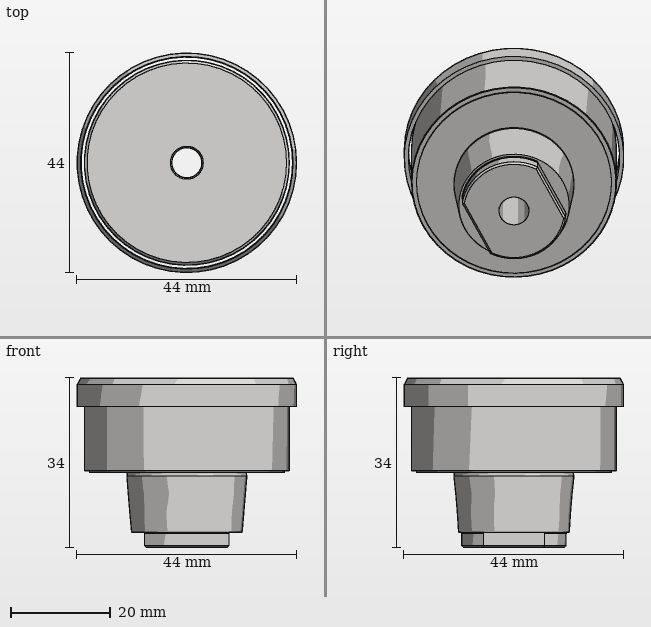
import cadquery as cq

total_height = 33.95
tip_height = 3.05
collar_base = 15.0

ring_radius = 22
ring_bore_radius = 21.17
ring_height = 5.72
ring_top_radius = 21.3
ring_chamfer_height = 1.3

head_radius = 20.55
head_recess = 0.45
head_top = total_height - head_recess
head_top_chamfer = 0.57
head_bottom_chamfer = 0.15
collar_radius = 19.55
collar_height = 0.3
head_base = collar_base + collar_height

shank_top_radius = 12.05
shank_bottom_radius = 11.15
shank_edge_width = 0.1
shank_edge_height = 0.2
neck_radius = 11.97
neck_height = 0.35
neck_flare_height = 0.35
shank_top = collar_base - neck_height - neck_flare_height

tip_radius = 10.48
tip_flat_distance = 8.5
tip_chamfer = 0.4
tip_root_width = 0.15
tip_root_height = 0.25

hole_radius = 3.0
hole_chamfer = 0.3


def make_ring():
    """Thin ring with a bevelled outer top edge, clear of the head."""
    ring_base = total_height - ring_height
    profile = [
        (ring_bore_radius, ring_base),
        (ring_radius, ring_base),
        (ring_radius, total_height - ring_chamfer_height),
        (ring_top_radius, total_height),
        (ring_bore_radius, total_height),
    ]
    return cq.Workplane("XZ").polyline(profile).close().revolve(360, (0, 0), (0, 1))


def make_head_and_shank():
    """Turned head, collar, neck and tapered shank."""
    profile = [
        (0, tip_height),
        (shank_bottom_radius - shank_edge_width, tip_height),
        (shank_bottom_radius, tip_height + shank_edge_height),
        (shank_top_radius, shank_top),
        (neck_radius, shank_top + neck_flare_height),
        (neck_radius, collar_base),
        (collar_radius, collar_base),
        (collar_radius, head_base),
        (head_radius - head_bottom_chamfer, head_base),
        (head_radius, head_base + head_bottom_chamfer),
        (head_radius, head_top - head_top_chamfer),
        (head_radius - head_top_chamfer, head_top),
        (0, head_top),
    ]
    return cq.Workplane("XZ").polyline(profile).close().revolve(360, (0, 0), (0, 1))


def make_tip():
    """Round tip, flared at its root and chamfered below, cut by a flat on each X side."""
    root_radius = tip_radius + tip_root_width
    profile = [
        (0, 0),
        (tip_radius, 0),
        (tip_radius, tip_height - tip_root_height),
        (root_radius, tip_height),
        (0, tip_height),
    ]
    round_tip = cq.Workplane("XZ").polyline(profile).close().revolve(360, (0, 0), (0, 1))
    flat_sided_block = cq.Workplane("XY").box(
        2 * tip_flat_distance, 2 * root_radius, tip_height, centered=(True, True, False)
    )
    return round_tip.intersect(flat_sided_block).faces("<Z").edges().chamfer(tip_chamfer)


def make_hole():
    """Through hole with a chamfered mouth at the head top."""
    mouth_radius = hole_radius + hole_chamfer
    profile = [
        (0, 0),
        (hole_radius, 0),
        (hole_radius, head_top - hole_chamfer),
        (mouth_radius, head_top),
        (0, head_top),
    ]
    return cq.Workplane("XZ").polyline(profile).close().revolve(360, (0, 0), (0, 1))


def make_holder():
    """Head, shank and tip as one body, drilled along the axis."""
    return make_head_and_shank().union(make_tip()).cut(make_hole())


ring = make_ring()
holder = make_holder()

result = cq.Compound.makeCompound([ring.val(), holder.val()])